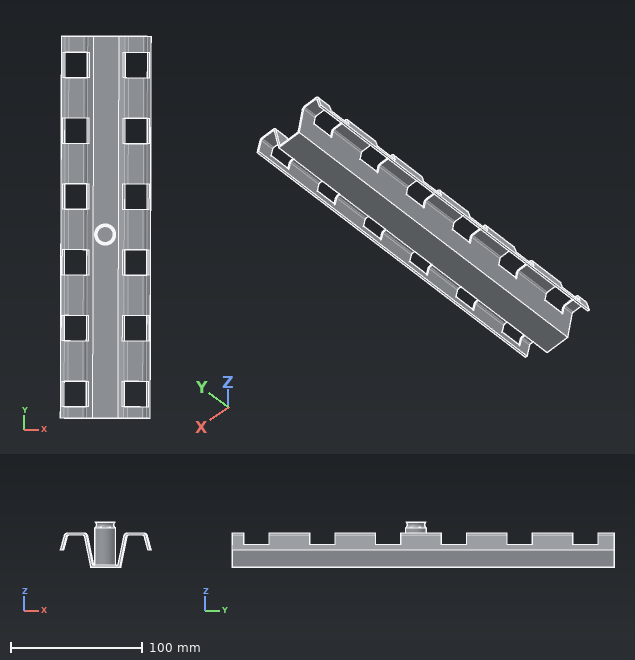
import cadquery as cq
import math

yaw = 0.17
overall_length = 291.2
overall_width = 69.3
yaw_sin = math.sin(math.radians(yaw))
yaw_cos = math.cos(math.radians(yaw))

rail_length = (overall_length * yaw_cos - overall_width * yaw_sin) / math.cos(math.radians(2 * yaw))
rail_width = (overall_width * yaw_cos - overall_length * yaw_sin) / math.cos(math.radians(2 * yaw))

sheet = 1.7
floor_half_width = 9.5
crest_z = 26.2
lip_bottom_z = 13.0
wall_lean = 11.5
lip_lean = 15.0
bend_radius = 3.0
inner_bend_radius = bend_radius - sheet

slot_count = 6
slot_pitch = 50.0
slot_width = 19.2
slot_bottom_z = 17.5
slot_row_y = -1.7

stud_x = -0.45
stud_y = -5.5
stud_diameter = 16.0
stud_radius = stud_diameter / 2
stud_shoulder_z = 30.0
stud_top_z = 34.5
rim_radius = 7.5
waist_radius = 6.7
recess_rim_radius = 7.0
recess_floor_radius = 6.0
recess_depth = 3.5


def hat_outline():
    """Closed sharp-cornered outline of the bent sheet, as (x, z) points."""
    wall_slope = math.tan(math.radians(wall_lean))
    lip_slope = math.tan(math.radians(lip_lean))
    wall_thickness_x = sheet / math.cos(math.radians(wall_lean))
    lip_thickness_x = sheet / math.cos(math.radians(lip_lean))

    def wall_x(z):
        return floor_half_width + (z - sheet) * wall_slope

    def lip_x(z):
        return rail_width / 2 - (z - lip_bottom_z) * lip_slope

    under_crest_z = crest_z - sheet
    half = [
        (wall_x(sheet), sheet),
        (wall_x(crest_z), crest_z),
        (lip_x(crest_z), crest_z),
        (lip_x(lip_bottom_z), lip_bottom_z),
        (lip_x(lip_bottom_z) - lip_thickness_x, lip_bottom_z),
        (lip_x(under_crest_z) - lip_thickness_x, under_crest_z),
        (wall_x(under_crest_z) + wall_thickness_x, under_crest_z),
        (wall_x(0) + wall_thickness_x, 0),
    ]
    return half + [(-x, z) for x, z in reversed(half)]


def edges_at_height(z):
    """Box that selects the lengthwise edges lying at height z."""
    margin = 0.3
    return cq.selectors.BoxSelector(
        (-rail_width, -rail_length, z - margin), (rail_width, rail_length, z + margin)
    )


def make_rail():
    rail = cq.Workplane("XZ").polyline(hat_outline()).close().extrude(rail_length / 2, both=True)
    rail = rail.edges("|Y").edges(edges_at_height(crest_z)).fillet(bend_radius)
    return rail.edges("|Y").edges(edges_at_height(crest_z - sheet)).fillet(inner_bend_radius)


def make_slots():
    slot_height = crest_z - slot_bottom_z
    return (
        cq.Workplane("XY", origin=(0, slot_row_y, slot_bottom_z))
        .rarray(3, slot_pitch, 1, slot_count)
        .box(rail_width, slot_width, slot_height, centered=(True, True, False))
    )


def make_stud():
    waist_z = (stud_shoulder_z + stud_top_z) / 2
    recess_floor_z = stud_top_z - recess_depth
    return (
        cq.Workplane("XZ")
        .moveTo(0, 0)
        .lineTo(stud_radius, 0)
        .lineTo(stud_radius, stud_shoulder_z)
        .threePointArc((waist_radius, waist_z), (rim_radius, stud_top_z))
        .lineTo(recess_rim_radius, stud_top_z)
        .lineTo(recess_floor_radius, recess_floor_z)
        .lineTo(0, recess_floor_z)
        .close()
        .revolve(360, (0, 0, 0), (0, 1, 0))
        .translate((stud_x, stud_y, 0))
    )


channel = make_rail().cut(make_slots()).union(make_stud())
result = channel.rotate((0, 0, 0), (0, 0, 1), -yaw)